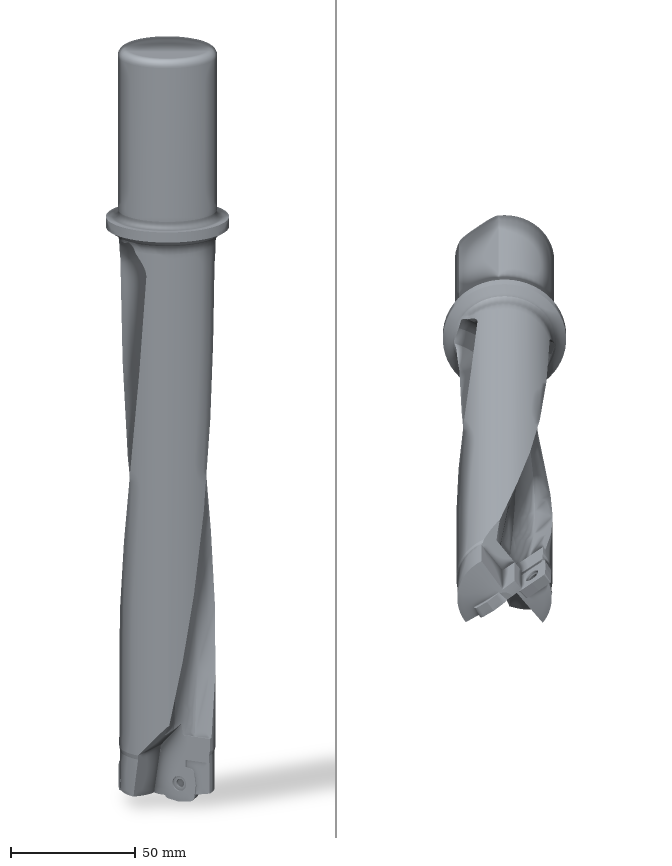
import cadquery as cq
import math


total_length = 313.65
shank_radius = 39.99 / 2
shank_end_fillet = 3.2
shank_bottom_z = 246.4
shank_flat_y = 17.4
shank_flat_bottom_z = 254.0
neck_radius = 39.29 / 2
flange_radius = 49.6 / 2
flange_top_z = 243.3
neck_fillet = 2.3
flange_rim_bottom_z = 239.1
flange_cone_radius = 20.7
flange_cone_bottom_z = 236.5
flange_fillet_mid = (19.8, 235.0)
flange_fillet_end_z = 232.7

stem_radius = 19.4
head_radius = 19.0
head_shoulder_z = 22.7
head_top_z = 20.9
head_rim_z = 5.0
head_face_z = 2.0
head_face_radius = 4.0

flute_top_z = 222.8
flute_bottom_z = 28.0
flute_top_angle = 234.0
turn_rate = 0.17
turn_growth = 0.00135
flute_half_angle = 38.5
flute_taper = 0.13
flute_sections = 9
core_radius = 4.9
floor_corner = (6.7, -6.2)
wall_arc_mid = (6.4, 4.6)
wall_corner = (10.3, 7.5)
flute_reach = stem_radius + 5.0
runout_axis_radius = stem_radius + 0.3

pocket_reach = 30.0
centre_pocket_bottom_x = -6.5
centre_pocket_top_x = -3.0
outer_pocket_wall_x = 2.5
web_ledge_x = 8.5
outer_pocket_top_z = 19.7
centre_pocket_top_z = head_shoulder_z
pocket_ramp_top_x = 9.5
pocket_ramp_top_z = 36.0
seat_step_z = 17.8
seat_step_depth = 0.6
seat_step_start_x = 8.3

cutting_radius = 20.5
insert_thickness = 4.6
insert_relief_angle = 7.0
centre_insert_half_width = 6.6
centre_insert_bulge = 1.0
centre_insert_corner_radius = 2.5
centre_insert_x = 5.4
centre_insert_z = centre_insert_half_width + centre_insert_bulge
outer_insert_half_width = 6.55
outer_insert_bulge = 0.2
outer_insert_corner_radius = 0.8
outer_insert_x = cutting_radius - outer_insert_half_width - outer_insert_bulge
outer_insert_z = head_face_z + outer_insert_half_width + outer_insert_bulge
insert_mouth_diameter = 6.2
insert_mouth_depth = 0.8
insert_hole_diameter = 4.8
screw_head_diameter = 5.6
screw_head_bottom = 2.4
screw_shank_diameter = 4.0
screw_shank_end = 11.0
screw_socket_diameter = 3.5
screw_socket_depth = 1.2


def turned_blank():
    """Shank, neck, flange, stem and conical head as one turned profile."""
    arc_inset = neck_fillet * (1 - math.sqrt(0.5))
    neck_fillet_mid = (neck_radius + arc_inset, flange_top_z + arc_inset)
    blank = (
        cq.Workplane("XZ")
        .moveTo(0, head_face_z)
        .lineTo(head_face_radius, head_face_z)
        .lineTo(head_radius, head_rim_z)
        .lineTo(head_radius, head_top_z)
        .lineTo(stem_radius, head_shoulder_z)
        .lineTo(stem_radius, flange_fillet_end_z)
        .threePointArc(flange_fillet_mid, (flange_cone_radius, flange_cone_bottom_z))
        .lineTo(flange_radius, flange_rim_bottom_z)
        .lineTo(flange_radius, flange_top_z)
        .lineTo(neck_radius + neck_fillet, flange_top_z)
        .threePointArc(neck_fillet_mid, (neck_radius, flange_top_z + neck_fillet))
        .lineTo(neck_radius, shank_bottom_z)
        .lineTo(shank_radius, shank_bottom_z)
        .lineTo(shank_radius, total_length)
        .lineTo(0, total_length)
        .close()
        .revolve(360, (0, 0, 0), (0, 1, 0))
    )
    return blank.faces(">Z").edges().fillet(shank_end_fillet)


def shank_flat():
    """Block that cuts the clamping flat on the +Y side of the shank."""
    height = total_length - shank_flat_bottom_z
    return (
        cq.Workplane("XY", origin=(0, shank_flat_y, shank_flat_bottom_z))
        .box(2 * shank_radius, shank_radius, height, centered=(True, False, False))
    )


def flute_profile(width_scale, outer_reach):
    """Flute section with +X pointing out of the drill; width_scale narrows it."""
    half_angle = math.radians(flute_half_angle)
    rim_x = stem_radius * math.cos(half_angle)
    rim_y = stem_radius * math.sin(half_angle)

    def at_reach(corner, side):
        slope = (side * rim_y - corner[1]) / (rim_x - corner[0])
        return outer_reach, width_scale * (corner[1] + slope * (outer_reach - corner[0]))

    def narrowed(point):
        return point[0], width_scale * point[1]

    return (
        cq.Workplane("XY")
        .moveTo(*at_reach(floor_corner, -1))
        .lineTo(*narrowed(floor_corner))
        .lineTo(core_radius, 0)
        .threePointArc(narrowed(wall_arc_mid), narrowed(wall_corner))
        .lineTo(*at_reach(wall_corner, 1))
        .close()
    )


def flute_parts():
    """Twisted channel of one flute and the rounded run-out at its top."""
    sections = []
    length = flute_top_z - flute_bottom_z
    for index in range(flute_sections):
        distance = length * index / (flute_sections - 1)
        turn = turn_rate * distance + turn_growth * distance ** 2
        width_scale = 1 - flute_taper * distance / length
        wire = flute_profile(width_scale, flute_reach).wires().val()
        wire = wire.rotate(cq.Vector(0, 0, 0), cq.Vector(0, 0, 1), flute_top_angle - turn)
        sections.append(wire.translate(cq.Vector(0, 0, flute_top_z - distance)))
    channel = cq.Workplane(cq.Solid.makeLoft(sections))
    runout = (
        flute_profile(1, runout_axis_radius)
        .revolve(90, (runout_axis_radius, 0, 0), (runout_axis_radius, 1, 0))
        .translate((0, 0, flute_top_z))
        .rotate((0, 0, 0), (0, 0, 1), flute_top_angle)
    )
    return channel, runout


def half_turn(shape):
    return shape.rotate((0, 0, 0), (0, 0, 1), 180)


def head_pocket(wall_bottom_x, wall_top_x, wall_top_z, step_start_x):
    """Pocket on the -Y side ahead of an insert face, with a ramped top and a seat step lower down."""
    pocket = (
        cq.Workplane("XZ")
        .moveTo(wall_bottom_x, 0)
        .lineTo(wall_top_x, wall_top_z)
        .lineTo(pocket_ramp_top_x, pocket_ramp_top_z)
        .lineTo(pocket_reach, pocket_ramp_top_z)
        .lineTo(pocket_reach, 0)
        .close()
        .extrude(pocket_reach)
    )
    step = (
        cq.Workplane("XZ", origin=(step_start_x, seat_step_depth, 0))
        .rect(pocket_reach, seat_step_z, centered=False)
        .extrude(seat_step_depth)
    )
    return pocket.union(step)


def web_ledge():
    """Block left standing in the outer pocket; it backs the centre insert."""
    width = web_ledge_x - outer_pocket_wall_x
    return (
        cq.Workplane("XY", origin=(outer_pocket_wall_x, -insert_thickness, 0))
        .box(width, insert_thickness, outer_pocket_top_z, centered=False)
    )


def insert_blank(half_width, bulge, corner_radius):
    """Four-sided insert centred on the Y axis: cutting face on Y = 0, sides peaked by the bulge."""
    points = []
    for quarter in range(4):
        angle = math.radians(90 * quarter)
        for along, across in ((half_width + bulge, 0), (half_width, half_width)):
            x = along * math.cos(angle) - across * math.sin(angle)
            z = along * math.sin(angle) + across * math.cos(angle)
            points.append(cq.Vector(x, 0, z))
    outline = cq.Wire.makePolygon(points, close=True)
    corners = []
    for vertex in outline.Vertices():
        if min(abs(vertex.X), abs(vertex.Z)) > half_width / 2:
            corners.append(vertex)
    outline = outline.fillet2D(corner_radius, corners)
    return (
        cq.Workplane("XZ")
        .add(outline)
        .toPending()
        .extrude(-insert_thickness, taper=insert_relief_angle)
    )


def cylinder(diameter, start, end):
    """Cylinder along Y between two depths below the cutting face."""
    return cq.Workplane("XZ", origin=(0, start, 0)).circle(diameter / 2).extrude(start - end)


def insert_hole():
    mouth = cylinder(insert_mouth_diameter, 0, insert_mouth_depth)
    head_seat = cylinder(screw_head_diameter, 0, screw_head_bottom)
    return cylinder(insert_hole_diameter, 0, insert_thickness).union(head_seat).union(mouth)


def insert_screw():
    head = cylinder(screw_head_diameter, insert_mouth_depth, screw_head_bottom)
    shank = cylinder(screw_shank_diameter, insert_mouth_depth, screw_shank_end)
    socket = cylinder(screw_socket_diameter, insert_mouth_depth, insert_mouth_depth + screw_socket_depth)
    return head.union(shank).cut(socket)


def at_centre_seat(shape):
    """Place a shape in the centre seat, cutting face toward -Y."""
    return shape.translate((centre_insert_x, 0, centre_insert_z))


def at_outer_seat(shape):
    """Place a shape in the outer seat, cutting face toward +Y."""
    return half_turn(shape.translate((outer_insert_x, 0, outer_insert_z)))


centre_blank = insert_blank(centre_insert_half_width, centre_insert_bulge, centre_insert_corner_radius)
outer_blank = insert_blank(outer_insert_half_width, outer_insert_bulge, outer_insert_corner_radius)
screw_hole = cylinder(screw_shank_diameter, 0, screw_shank_end)

body = turned_blank().cut(shank_flat())
for flute_part in flute_parts():
    body = body.cut(flute_part).cut(half_turn(flute_part))
centre_pocket = head_pocket(
    centre_pocket_bottom_x, centre_pocket_top_x, centre_pocket_top_z, seat_step_start_x
)
outer_pocket = head_pocket(
    outer_pocket_wall_x, outer_pocket_wall_x, outer_pocket_top_z, web_ledge_x
).cut(web_ledge())
body = body.cut(centre_pocket).cut(half_turn(outer_pocket))
body = body.cut(at_centre_seat(centre_blank)).cut(at_centre_seat(screw_hole))
body = body.cut(at_outer_seat(outer_blank)).cut(at_outer_seat(screw_hole))

centre_insert = at_centre_seat(centre_blank.cut(insert_hole()))
outer_insert = at_outer_seat(outer_blank.cut(insert_hole()))

screws = [place(insert_screw()) for place in (at_centre_seat, at_outer_seat)]

result = cq.Compound.makeCompound(
    [body.val(), centre_insert.val(), outer_insert.val(), *[screw.val() for screw in screws]]
)